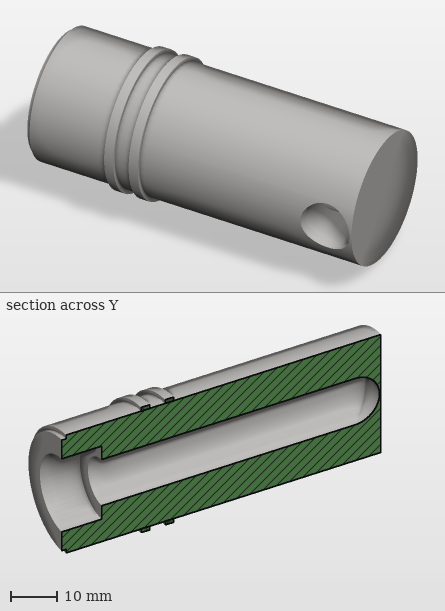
import cadquery as cq

length = 80.0
body_radius = 15.5
nose_length = 1.0
nose_step = 1.0

counterbore_diameter = 19.0
counterbore_depth = 10.0
passage_diameter = 12.0
outlet_x = 73.5

ring_thickness = 1.0
ring_width = 2.2
first_ring_x = 19.8
ring_pitch = 6.0
ring_count = 2


def cylinder_along_x(start_x, cylinder_length, radius):
    return cq.Workplane("YZ", origin=(start_x, 0, 0)).circle(radius).extrude(cylinder_length)


def make_passage():
    """Mitred elbow: in along X from the inlet face, out through the -Y side."""
    outlet_y = -(body_radius + ring_thickness)
    path = cq.Workplane("XY").polyline([(0, 0), (outlet_x, 0), (outlet_x, outlet_y)])
    return cq.Workplane("YZ").circle(passage_diameter / 2).sweep(path, transition="right")


def make_housing():
    nose = cylinder_along_x(0, nose_length, body_radius - nose_step)
    barrel = cylinder_along_x(nose_length, length - nose_length, body_radius)
    counterbore = cylinder_along_x(0, counterbore_depth, counterbore_diameter / 2)
    return nose.union(barrel).cut(counterbore).cut(make_passage())


def make_ring(start_x):
    """Flat band that fits closely around the barrel."""
    band = cylinder_along_x(start_x, ring_width, body_radius + ring_thickness)
    return band.cut(cylinder_along_x(start_x, ring_width, body_radius))


housing = make_housing()
rings = [make_ring(first_ring_x + index * ring_pitch) for index in range(ring_count)]

result = cq.Compound.makeCompound([housing.val(), *[ring.val() for ring in rings]])